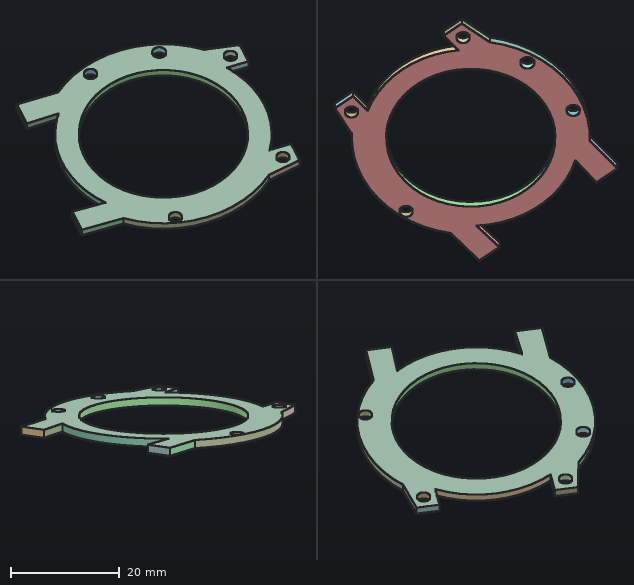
import cadquery as cq
import math

thickness = 1.6
side_radius = 21.95
end_radius = 19.95
bore_diameter = 31.15

upper_tip_y = 21.05
upper_inner_x = 10.8
upper_outer_tip_x = 15.15
upper_outer_root_x = 16.45

lower_tip_y = -22.55
left_outer_x = -16.55
left_inner_root_x = -11.62
left_inner_tip_x = -11.45
right_outer_root_x = 16.6
right_outer_tip_x = 16.45
right_inner_root_x = 11.8
right_inner_tip_x = 11.6

hole_diameter = 2.4
large_hole_diameter = 2.55
lug_hole_x = 13.3
lug_hole_y = 18.4
hole_centers = [
    (-lug_hole_x, lug_hole_y),
    (lug_hole_x, lug_hole_y),
    (-18.5, -7.2),
    (19.8, -5.35),
]
large_hole_center = (-18.8, 6.5)


def rim_point(radius, x, end):
    """Point on a rim circle at x; end is +1 for the +Y half and -1 for the -Y half."""
    return (x, end * math.sqrt(radius**2 - x**2))


outline = (
    cq.Workplane("XY")
    .moveTo(*rim_point(end_radius, -upper_inner_x, 1))
    .threePointArc((0, end_radius), rim_point(end_radius, upper_inner_x, 1))
    .lineTo(upper_inner_x, upper_tip_y)
    .lineTo(upper_outer_tip_x, upper_tip_y)
    .lineTo(*rim_point(side_radius, upper_outer_root_x, 1))
    .threePointArc((side_radius, 0), rim_point(side_radius, right_outer_root_x, -1))
    .lineTo(right_outer_tip_x, lower_tip_y)
    .lineTo(right_inner_tip_x, lower_tip_y)
    .lineTo(*rim_point(end_radius, right_inner_root_x, -1))
    .threePointArc((0, -end_radius), rim_point(end_radius, left_inner_root_x, -1))
    .lineTo(left_inner_tip_x, lower_tip_y)
    .lineTo(left_outer_x, lower_tip_y)
    .lineTo(*rim_point(side_radius, left_outer_x, -1))
    .threePointArc((-side_radius, 0), rim_point(side_radius, -upper_outer_root_x, 1))
    .lineTo(-upper_outer_tip_x, upper_tip_y)
    .lineTo(-upper_inner_x, upper_tip_y)
    .close()
)
plate = outline.extrude(thickness)


def drill(body, centers, diameter):
    """Cut round holes through the full thickness at the given centres."""
    cutters = cq.Workplane("XY").pushPoints(centers).circle(diameter / 2).extrude(thickness)
    return body.cut(cutters)


plate = drill(plate, [(0, 0)], bore_diameter)
plate = drill(plate, hole_centers, hole_diameter)
result = drill(plate, [large_hole_center], large_hole_diameter)